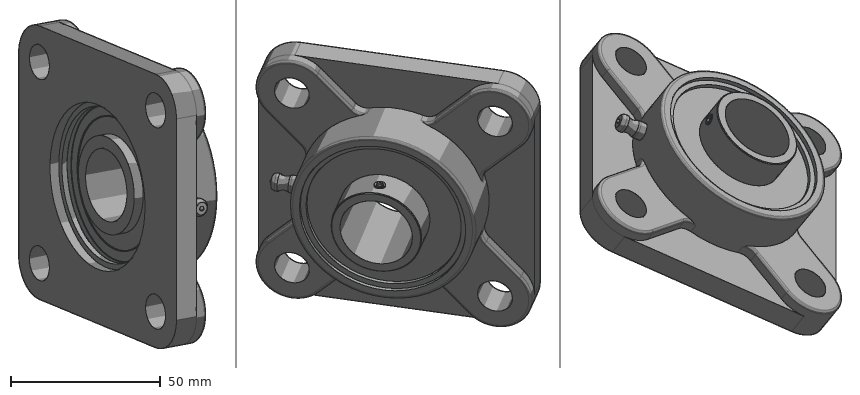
import cadquery as cq
import math

flange_side = 95.0
flange_thickness = 8.1
bolt_offset = 35.0
bolt_hole_diameter = 12.0
corner_radius = flange_side / 2 - bolt_offset

pad_height = 12.2
pad_blend_radius = 4.9
edge_round = 0.95

boss_radius = 31.9
boss_height = 27.1
bore_radius = 26.7
rim_radius = 28.6
rim_depth = 3.5
back_rim_depth = 1.4
seat_groove_start = 5.6
groove_radius = 29.0

shaft_radius = 12.4
inner_ring_radius = 16.8
inner_ring_front = 3.5
collar_radius = 15.6
collar_end = 35.7
collar_chamfer = 0.3
outer_ring_front = 7.1
outer_ring_width = 17.1
outer_ring_back = outer_ring_front + outer_ring_width
outer_ring_chamfer = 0.3
seal_groove_radius = 23.0
seal_groove_width = 0.3
seal_groove_depth = 0.3

screw_radius = 1.9
screw_height = 30.8
screw_protrusion = 0.4
screw_embed = 1.9
screw_spacing_angle = 90
socket_width = 2.3
socket_depth = 0.95

nipple_height = 14.3
nipple_radius = 3.0
nipple_embed = 1.9
nipple_root = boss_radius - nipple_embed
nipple_body_end = 34.2
shoulder_end = 35.0
shoulder_radius = 2.9
neck_radius = 2.4
neck_position = 36.8
head_start = 38.8
head_round_start = 39.7
head_end = 41.1
head_end_radius = 2.2
tip_radius = 0.8


def cylinder(radius, start, end):
    """Solid cylinder on the Y axis between two heights."""
    return cq.Workplane("XZ", origin=(0, start, 0)).circle(radius).extrude(start - end)


def make_pad():
    """Rounded arm around the bolt hole at (+X, +Z), flaring tangentially into the boss."""
    reach = bolt_offset * math.sqrt(2)
    half_width = corner_radius
    blend_y = half_width + pad_blend_radius
    blend_distance = boss_radius + pad_blend_radius
    blend_x = math.sqrt(blend_distance**2 - blend_y**2)
    blend_angle = math.atan2(blend_y, blend_x)
    contact_x = boss_radius * math.cos(blend_angle)
    contact_y = boss_radius * math.sin(blend_angle)
    mid_angle = (blend_angle + math.pi + 1.5 * math.pi) / 2
    mid_x = blend_x + pad_blend_radius * math.cos(mid_angle)
    mid_y = blend_y + pad_blend_radius * math.sin(mid_angle)
    pad = (
        cq.Workplane("XZ", origin=(0, flange_thickness, 0))
        .moveTo(0, 0)
        .lineTo(contact_x, -contact_y)
        .threePointArc((mid_x, -mid_y), (blend_x, -half_width))
        .lineTo(reach, -half_width)
        .threePointArc((reach + half_width, 0), (reach, half_width))
        .lineTo(blend_x, half_width)
        .threePointArc((mid_x, mid_y), (contact_x, contact_y))
        .close()
        .extrude(flange_thickness - pad_height)
    )
    return pad.rotate((0, 0, 0), (0, 1, 0), -45)


def make_bore():
    """Bore with a counterbore at each mouth and a groove in front of the bearing seat."""
    bore = cylinder(bore_radius, 0, boss_height)
    front_counterbore = cylinder(rim_radius, 0, rim_depth)
    back_counterbore = cylinder(rim_radius, boss_height - back_rim_depth, boss_height)
    seat_groove = cylinder(groove_radius, seat_groove_start, outer_ring_front)
    return bore.union(front_counterbore).union(back_counterbore).union(seat_groove)


def make_nipple():
    """Grease nipple turned about an X-directed axis, waisted behind its rounded head."""
    tip_mid = tip_radius * math.sqrt(0.5)
    return (
        cq.Workplane("XY", origin=(0, nipple_height, 0))
        .moveTo(nipple_root, 0)
        .lineTo(nipple_root, nipple_radius)
        .lineTo(nipple_body_end, nipple_radius)
        .lineTo(shoulder_end, shoulder_radius)
        .threePointArc((neck_position, neck_radius), (head_start, nipple_radius))
        .lineTo(head_round_start, nipple_radius)
        .tangentArcPoint((head_end, head_end_radius), relative=False)
        .lineTo(head_end, tip_radius)
        .threePointArc((head_end + tip_mid, tip_mid), (head_end + tip_radius, 0))
        .close()
        .revolve(360, (0, 0, 0), (1, 0, 0))
    )


def make_housing():
    """Square flange with four pads, boss, grease nipple, bore and bolt holes."""
    flange = (
        cq.Workplane("XZ")
        .rect(flange_side, flange_side)
        .extrude(-flange_thickness)
        .edges("|Y")
        .fillet(corner_radius)
    )
    pads = cylinder(boss_radius, flange_thickness, pad_height)
    for turn in range(4):
        pads = pads.union(make_pad().rotate((0, 0, 0), (0, 1, 0), 90 * turn))
    pads = pads.faces(">Y").edges().fillet(edge_round).cut(cylinder(boss_radius, 0, pad_height))
    boss = cylinder(boss_radius, 0, boss_height).faces(">Y").edges().fillet(edge_round)
    bolt_holes = (
        cq.Workplane("XZ")
        .rect(2 * bolt_offset, 2 * bolt_offset, forConstruction=True)
        .vertices()
        .circle(bolt_hole_diameter / 2)
        .extrude(-pad_height)
    )
    housing = flange.union(pads).union(boss).union(make_nipple())
    return housing.cut(make_bore()).cut(bolt_holes)


def make_set_screw():
    """Set screw pointing along +Z, its root buried in the collar."""
    return (
        cq.Workplane("XY", origin=(0, screw_height, collar_radius - screw_embed))
        .circle(screw_radius)
        .extrude(screw_embed + screw_protrusion)
    )


def make_screw_socket():
    """Hexagon socket in the outer end of the set screw that points along +Z."""
    return (
        cq.Workplane("XY", origin=(0, screw_height, collar_radius + screw_protrusion))
        .polygon(6, socket_width, circumscribed=True)
        .extrude(-socket_depth)
    )


def make_bearing():
    """Outer ring, inner ring, collar and set screws as one insert around the shaft hole."""
    rings = cylinder(bore_radius, outer_ring_front, outer_ring_back)
    rings = rings.faces("<Y").edges().chamfer(outer_ring_chamfer)
    seal_groove_floor = outer_ring_front + seal_groove_depth
    seal_groove_inside = cylinder(seal_groove_radius - seal_groove_width, outer_ring_front, seal_groove_floor)
    seal_groove = cylinder(seal_groove_radius, outer_ring_front, seal_groove_floor).cut(seal_groove_inside)
    inner_ring = cylinder(inner_ring_radius, inner_ring_front, outer_ring_back)
    collar = cylinder(collar_radius, outer_ring_front, collar_end).faces(">Y").edges().chamfer(collar_chamfer)
    bearing = rings.cut(seal_groove).union(inner_ring).union(collar)
    for turn in (0, screw_spacing_angle):
        bearing = bearing.union(make_set_screw().rotate((0, 0, 0), (0, 1, 0), turn))
        bearing = bearing.cut(make_screw_socket().rotate((0, 0, 0), (0, 1, 0), turn))
    return bearing.cut(cylinder(shaft_radius, inner_ring_front, collar_end))


housing = make_housing()
bearing = make_bearing()
result = cq.Compound.makeCompound([housing.val(), bearing.val()])